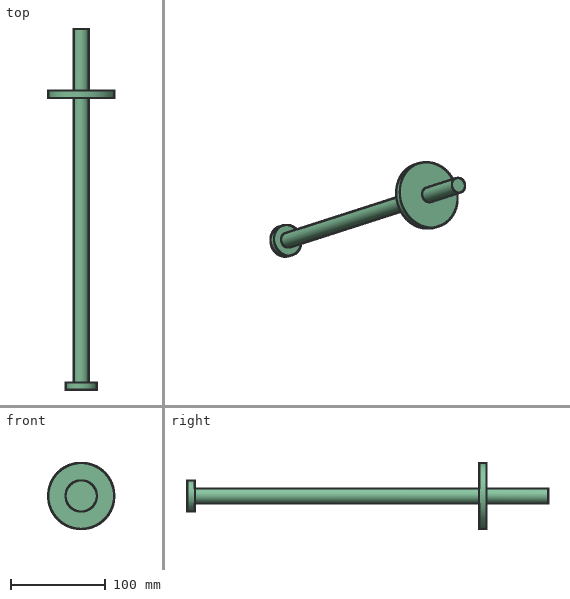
import cadquery as cq

total_length = 381.0
rod_diameter = 16.0
head_diameter = 33.0
head_thickness = 8.0
flange_diameter = 70.0
flange_thickness = 8.0
tail_length = 65.0

flange_start = total_length - tail_length - flange_thickness


def disc(diameter, start, length):
    """Cylinder on the Y axis, running from Y = start towards +Y."""
    return cq.Workplane("XZ", origin=(0, start, 0)).circle(diameter / 2).extrude(-length)


rod = disc(rod_diameter, 0, total_length)
head = disc(head_diameter, 0, head_thickness)
flange = disc(flange_diameter, flange_start, flange_thickness)

result = rod.union(head).union(flange)